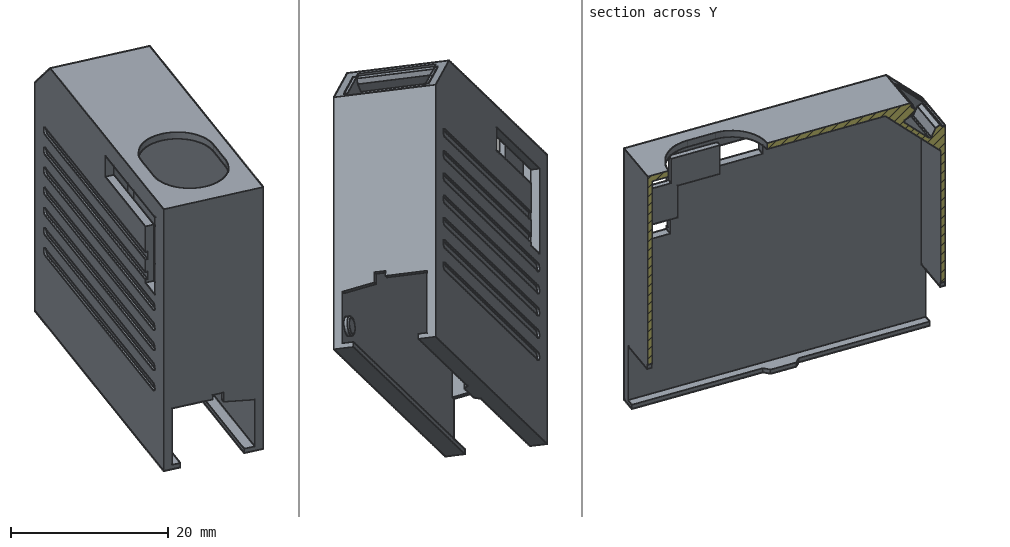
import cadquery as cq
import math

LENGTH = 41.9
WIDTH = 13.7
HEIGHT = 39.0
CORNER_CHAMFER = 5.05

SIDE_WALL = 1.17
END_WALL = 0.65
TOP_WALL = 1.0

RAIL_HEIGHT = 0.65
FRONT_RAIL_REACH = 2.3
BACK_RAIL_REACH = 2.65
RAIL_BUMP_REACH = 3.0
RAIL_BUMP_LENGTH = 5.05

CUTOUT_FRONT_TOP = 9.05
NOTCH_TOP = 9.72
NOTCH_FRONT = 6.75
NOTCH_BACK = 8.25
SLOPE_HIGH = 8.35
SLOPE_LOW = 7.63

BOSS_DIAMETER = 2.55
BOSS_HEIGHT = 0.65
BOSS_CHAMFER = 0.2
BOSS_X = 1.8
BOSS_Z = 3.55

HOLE_LENGTH = 13.85
HOLE_WIDTH = 9.9
HOLE_X = 32.0
HOLE_Y = 6.9

GROOVE_COUNT = 7
GROOVE_MARGIN = 2.9
GROOVE_WIDTH = 1.1
GROOVE_DEPTH = 0.35
LOWEST_GROOVE_Z = 10.7
HIGHEST_GROOVE_Z = 28.65

WINDOW_MARGIN = 2.85
WINDOW_ARM = 3.1
WINDOW_LENGTH = 16.1
WINDOW_DROP = 11.5
PLATE_THICKNESS = 0.75
PLATE_OVERLAP = 0.65
UPPER_PLATE_LENGTH = 6.87
UPPER_PLATE_OVERHANG = 0.25
SIDE_PLATE_HEIGHT = 5.6

POCKET_WIDTH = 10.48
POCKET_TOP_MARGIN = 0.65
POCKET_BOTTOM_MARGIN = 0.13
POCKET_LEDGE_DEPTH = 0.3
POCKET_TOP_LEDGE = 0.8
POCKET_BOTTOM_LEDGE = 0.65
POCKET_DEPTH = 2.47
SIDE_LEDGE_WIDTH = 0.45
SIDE_LEDGE_DEPTH = 0.1
BEAD_DROP = 0.65
BEAD_REACH = 0.25
UNDERCUT = 0.2
POCKET_FLOOR_WALL = 0.65

BACK_INSIDE = WIDTH - SIDE_WALL
WINDOW_RIGHT = LENGTH - WINDOW_MARGIN
WINDOW_TOP = HEIGHT - WINDOW_MARGIN


def block(x_range, y_range, z_range):
    """Box between two limits along each axis."""
    (x0, x1), (y0, y1), (z0, z1) = x_range, y_range, z_range
    return cq.Workplane("XY").box(x1 - x0, y1 - y0, z1 - z0, centered=False).translate((x0, y0, z0))


def chamfered_block(x_range, y_range, z_range, cut):
    """Box with its upper left edge cut off at 45 degrees."""
    return block(x_range, y_range, z_range).edges("<X and >Z").chamfer(cut)


def shell():
    """Hollow housing, open at the bottom, with a thicker wall behind the sloping corner."""
    outside = chamfered_block((0, LENGTH), (0, WIDTH), (0, HEIGHT), CORNER_CHAMFER)
    slope_wall = POCKET_DEPTH + POCKET_FLOOR_WALL
    cavity_cut = CORNER_CHAMFER + slope_wall * math.sqrt(2) - END_WALL - TOP_WALL
    cavity = chamfered_block(
        (END_WALL, LENGTH - END_WALL), (SIDE_WALL, BACK_INSIDE), (0, HEIGHT - TOP_WALL), cavity_cut
    )
    return outside.cut(cavity)


def end_cutout():
    """Stepped opening passing through both end walls."""
    outline = [
        (SIDE_WALL, 0),
        (SIDE_WALL, CUTOUT_FRONT_TOP),
        (NOTCH_FRONT, CUTOUT_FRONT_TOP),
        (NOTCH_FRONT, NOTCH_TOP),
        (NOTCH_BACK, NOTCH_TOP),
        (NOTCH_BACK, SLOPE_HIGH),
        (BACK_INSIDE, SLOPE_LOW),
        (BACK_INSIDE, 0),
    ]
    return cq.Workplane("YZ").polyline(outline).close().extrude(LENGTH)


def rails():
    """Inward lips along the bottom; the front one carries a bump at mid-length."""
    back = block((0, LENGTH), (WIDTH - BACK_RAIL_REACH, WIDTH), (0, RAIL_HEIGHT))
    bump_rise = RAIL_BUMP_REACH - FRONT_RAIL_REACH
    bump_start = (LENGTH - RAIL_BUMP_LENGTH) / 2
    bump_end = bump_start + RAIL_BUMP_LENGTH
    outline = [
        (0, 0),
        (LENGTH, 0),
        (LENGTH, FRONT_RAIL_REACH),
        (bump_end, FRONT_RAIL_REACH),
        (bump_end - bump_rise, RAIL_BUMP_REACH),
        (bump_start + bump_rise, RAIL_BUMP_REACH),
        (bump_start, FRONT_RAIL_REACH),
        (0, FRONT_RAIL_REACH),
    ]
    front = cq.Workplane("XY").polyline(outline).close().extrude(RAIL_HEIGHT)
    return front.union(back)


def boss():
    """Chamfered round boss standing on the inside of the back wall."""
    return (
        cq.Workplane("XZ", origin=(BOSS_X, BACK_INSIDE, BOSS_Z))
        .circle(BOSS_DIAMETER / 2)
        .extrude(BOSS_HEIGHT)
        .faces("<Y")
        .chamfer(BOSS_CHAMFER)
    )


def top_hole():
    """Oval opening through the top wall."""
    return (
        cq.Workplane("XY", origin=(HOLE_X, HOLE_Y, HEIGHT - TOP_WALL))
        .slot2D(HOLE_LENGTH, HOLE_WIDTH)
        .extrude(TOP_WALL)
    )


def grooves():
    """Row of long round-ended grooves, evenly spaced up the front face."""
    pitch = (HIGHEST_GROOVE_Z - LOWEST_GROOVE_Z) / (GROOVE_COUNT - 1)
    centers = [(LENGTH / 2, LOWEST_GROOVE_Z + i * pitch) for i in range(GROOVE_COUNT)]
    return (
        cq.Workplane("XZ")
        .pushPoints(centers)
        .slot2D(LENGTH - 2 * GROOVE_MARGIN, GROOVE_WIDTH)
        .extrude(-GROOVE_DEPTH)
    )


def window():
    """L-shaped opening through the front wall."""
    depth = (0, SIDE_WALL)
    upper_arm = block(
        (WINDOW_RIGHT - WINDOW_LENGTH, WINDOW_RIGHT), depth, (WINDOW_TOP - WINDOW_ARM, WINDOW_TOP)
    )
    side_arm = block(
        (WINDOW_RIGHT - WINDOW_ARM, WINDOW_RIGHT), depth, (WINDOW_TOP - WINDOW_DROP, WINDOW_TOP)
    )
    return upper_arm.union(side_arm)


def window_plates():
    """Plates on the inside of the front wall that close the middle of each window arm."""
    depth = (SIDE_WALL, SIDE_WALL + PLATE_THICKNESS)
    inner_x = WINDOW_RIGHT - WINDOW_ARM
    inner_z = WINDOW_TOP - WINDOW_ARM
    upper_end = inner_x + UPPER_PLATE_OVERHANG
    upper_plate = block(
        (upper_end - UPPER_PLATE_LENGTH, upper_end),
        depth,
        (inner_z - PLATE_OVERLAP, WINDOW_TOP + PLATE_OVERLAP),
    )
    side_plate = block(
        (inner_x - PLATE_OVERLAP, WINDOW_RIGHT + PLATE_OVERLAP),
        depth,
        (inner_z - SIDE_PLATE_HEIGHT, inner_z),
    )
    return upper_plate.union(side_plate)


def corner_pocket():
    """Stepped pocket sunk square to the sloping corner face, with a snap bead along its long sides."""
    slope_half = CORNER_CHAMFER / math.sqrt(2)
    recess_low = -slope_half + POCKET_BOTTOM_MARGIN
    recess_high = slope_half - POCKET_TOP_MARGIN
    well_low = recess_low + POCKET_BOTTOM_LEDGE
    well_high = recess_high - POCKET_TOP_LEDGE
    bead_depth = POCKET_LEDGE_DEPTH + BEAD_DROP
    undercut_depth = POCKET_DEPTH - UNDERCUT
    outline = [
        (recess_low, 0),
        (recess_low, -POCKET_LEDGE_DEPTH),
        (well_low, -POCKET_LEDGE_DEPTH),
        (well_low + BEAD_REACH, -bead_depth),
        (well_low - UNDERCUT, -undercut_depth),
        (well_low, -POCKET_DEPTH),
        (well_high, -POCKET_DEPTH),
        (well_high + UNDERCUT, -undercut_depth),
        (well_high - BEAD_REACH, -bead_depth),
        (well_high, -POCKET_LEDGE_DEPTH),
        (recess_high, -POCKET_LEDGE_DEPTH),
        (recess_high, 0),
    ]
    cross_section = cq.Plane(
        origin=(CORNER_CHAMFER / 2, WIDTH / 2, HEIGHT - CORNER_CHAMFER / 2),
        xDir=(1, 0, 1),
        normal=(0, -1, 0),
    )
    pocket = cq.Workplane(cross_section).polyline(outline).close().extrude(POCKET_WIDTH / 2, both=True)

    side_ledges = (
        cq.Workplane(cross_section)
        .center((well_low + well_high) / 2, -SIDE_LEDGE_DEPTH / 2)
        .rect(well_high - well_low, SIDE_LEDGE_DEPTH)
        .extrude(POCKET_WIDTH / 2 + SIDE_LEDGE_WIDTH, both=True)
    )
    return pocket.union(side_ledges)


result = (
    shell()
    .cut(end_cutout())
    .cut(top_hole())
    .cut(grooves())
    .cut(window())
    .cut(corner_pocket())
    .union(rails())
    .union(boss())
    .union(window_plates())
)